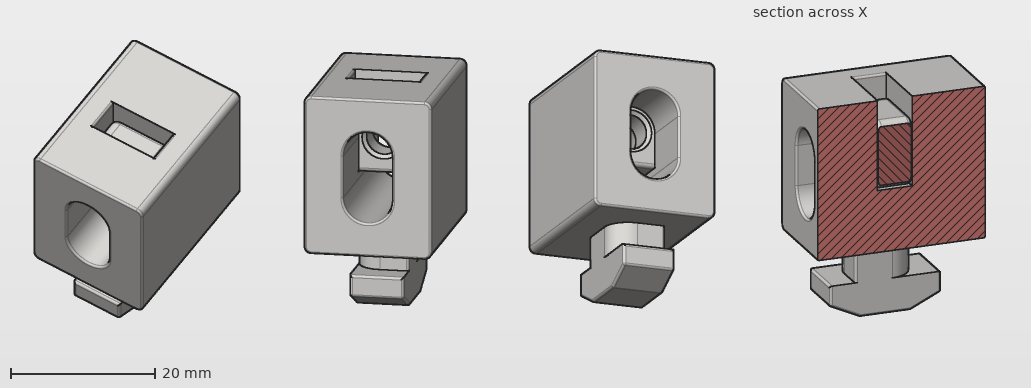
import cadquery as cq

HOUSING_X = 18.0
HOUSING_Y = 25.0
HOUSING_Z = 22.5
HOUSING_CORNER_R = 1.0
RIM_R = 0.32

SLOT_WIDTH = 6.98
SLOT_CENTER_SPACING = 5.95
SLOT_MID_Z = HOUSING_Z / 2

NUT_SIDE = 10.0
NUT_THICKNESS = 5.12
NUT_CORNER_R = 1.5
NUT_EDGE_R = 0.58
NUT_BORE_D = 4.93
NUT_BORE_CHAMFER = 0.55
NUT_Y = -1.0
NUT_Z = SLOT_MID_Z + SLOT_CENTER_SPACING / 2
NUT_BOTTOM_Z = NUT_Z - NUT_SIDE / 2

POCKET_DEPTH = HOUSING_Z - NUT_BOTTOM_Z
POCKET_LIP_R = 0.32

TOTAL_Z = 32.0
HOOK_Y = -2.0
HOOK_WIDTH = 7.6
HOOK_EDGE_R = 0.35
SHANK_LENGTH_Y = 9.1
SHANK_HEIGHT = 4.4
SHANK_LARGE_R = 3.52
HEAD_LENGTH = 16.48
HEAD_FLAT_LENGTH = 7.5
HEAD_END_HEIGHT = 3.0
HEAD_TOP_Z = -SHANK_HEIGHT
HEAD_BOTTOM_Z = HOUSING_Z - TOTAL_Z


def make_block():
    """Block with rounded long edges, rounded end rims and an obround passage."""
    block = cq.Workplane("XY").box(HOUSING_X, HOUSING_Y, HOUSING_Z, centered=(True, True, False))
    block = block.edges("|Y").fillet(HOUSING_CORNER_R)
    passage = (
        cq.Workplane("XZ", origin=(0, 0, SLOT_MID_Z))
        .slot2D(SLOT_CENTER_SPACING + SLOT_WIDTH, SLOT_WIDTH, angle=90)
        .extrude(HOUSING_Y / 2, both=True)
    )
    return block.cut(passage).faces("<Y or >Y").edges().fillet(RIM_R)


def cut_pocket(block):
    """Cut the nut pocket from the top face and round the lips at its two X ends."""
    pocket = (
        cq.Workplane("XY", origin=(0, NUT_Y, NUT_BOTTOM_Z))
        .rect(NUT_SIDE, NUT_THICKNESS)
        .extrude(POCKET_DEPTH)
    )
    pocket_lips = cq.selectors.BoxSelector(
        (-NUT_SIDE / 2 - POCKET_LIP_R, NUT_Y - NUT_THICKNESS, HOUSING_Z - POCKET_LIP_R),
        (NUT_SIDE / 2 + POCKET_LIP_R, NUT_Y + NUT_THICKNESS, HOUSING_Z + POCKET_LIP_R),
    )
    return block.cut(pocket).faces(">Z").edges("|Y").edges(pocket_lips).fillet(POCKET_LIP_R)


def make_shank():
    """Shank with two large and two small corner radii on opposite diagonals."""
    shank = (
        cq.Workplane("XY", origin=(0, HOOK_Y, HEAD_TOP_Z))
        .rect(HOOK_WIDTH, SHANK_LENGTH_Y)
        .extrude(SHANK_HEIGHT)
    )
    shank = shank.edges("|Z and ((<X and <Y) or (>X and >Y))").fillet(SHANK_LARGE_R)
    return shank.edges("|Z and ((<X and >Y) or (>X and <Y))").fillet(HOOK_EDGE_R)


def make_head():
    """Hammer head with sloped lower ends, rounded on all edges but its two long top ones."""
    half_length = HEAD_LENGTH / 2
    half_flat = HEAD_FLAT_LENGTH / 2
    slope_top_z = HEAD_TOP_Z - HEAD_END_HEIGHT
    head = (
        cq.Workplane("YZ", origin=(0, HOOK_Y, 0))
        .moveTo(-half_length, HEAD_TOP_Z)
        .lineTo(half_length, HEAD_TOP_Z)
        .lineTo(half_length, slope_top_z)
        .lineTo(half_flat, HEAD_BOTTOM_Z)
        .lineTo(-half_flat, HEAD_BOTTOM_Z)
        .lineTo(-half_length, slope_top_z)
        .close()
        .extrude(HOOK_WIDTH / 2, both=True)
    )
    return head.edges("not (|Y and >Z)").fillet(HOOK_EDGE_R)


def make_housing():
    """Housing block and hook as one solid."""
    return cut_pocket(make_block()).union(make_shank()).union(make_head())


def make_nut():
    """Square nut with rounded edges and a chamfered bore along Y."""
    nut = (
        cq.Workplane("XZ", origin=(0, NUT_Y, NUT_Z))
        .rect(NUT_SIDE, NUT_SIDE)
        .extrude(NUT_THICKNESS / 2, both=True)
        .edges("|Y")
        .fillet(NUT_CORNER_R)
    )
    nut = nut.faces("<Y or >Y").edges().fillet(NUT_EDGE_R)
    bore = (
        cq.Workplane("XZ", origin=(0, NUT_Y, NUT_Z))
        .circle(NUT_BORE_D / 2)
        .extrude(NUT_THICKNESS / 2, both=True)
    )
    bore_rims = cq.selectors.RadiusNthSelector(-1)
    return nut.cut(bore).faces("<Y or >Y").edges(bore_rims).chamfer(NUT_BORE_CHAMFER)


housing = make_housing()
nut = make_nut()

result = cq.Compound.makeCompound([housing.val(), nut.val()])